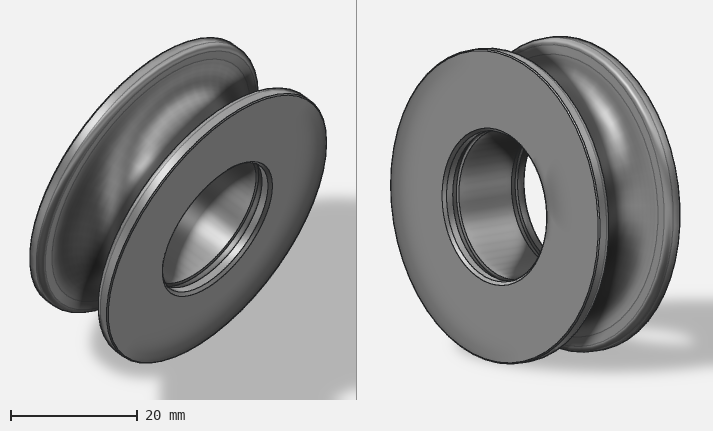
import cadquery as cq

width = 17.2
half_width = width / 2
outer_radius = 25.0
rim_chamfer = 0.2

rope_radius = 5.98
rope_floor_radius = 16.5
rope_centre_radius = rope_floor_radius + rope_radius
rim_fillet = 1.02

bore_radius = 12.0
bore_chamfer = 0.5

ring_groove_width = 1.3
ring_groove_depth = 0.6
ring_groove_inset = 1.8


def revolve_about_axis(profile):
    """Turn a closed profile in the XY plane (Y is the radius) around the X axis."""
    return profile.revolve(360, (0, 0, 0), (1, 0, 0))


def make_blank():
    """Plain disc with lightly chamfered outer edges."""
    disc = cq.Workplane("YZ").circle(outer_radius).extrude(half_width, both=True)
    return disc.faces("<X or >X").chamfer(rim_chamfer)


def make_rope_groove():
    """Cutter with a semicircular floor, straight walls and rounded rim edges."""
    fillet_start_radius = outer_radius - rim_fillet
    mouth_half_width = rope_radius + rim_fillet
    profile = (
        cq.Workplane("XY")
        .moveTo(-mouth_half_width, outer_radius)
        .radiusArc((-rope_radius, fillet_start_radius), rim_fillet)
        .lineTo(-rope_radius, rope_centre_radius)
        .threePointArc((0, rope_floor_radius), (rope_radius, rope_centre_radius))
        .lineTo(rope_radius, fillet_start_radius)
        .radiusArc((mouth_half_width, outer_radius), rim_fillet)
        .close()
    )
    return revolve_about_axis(profile)


def make_bore():
    """Cutter for the bore with a chamfered mouth at each end."""
    mouth_radius = bore_radius + bore_chamfer
    chamfer_start = half_width - bore_chamfer
    profile = (
        cq.Workplane("XY")
        .moveTo(-half_width, 0)
        .lineTo(-half_width, mouth_radius)
        .lineTo(-chamfer_start, bore_radius)
        .lineTo(chamfer_start, bore_radius)
        .lineTo(half_width, mouth_radius)
        .lineTo(half_width, 0)
        .close()
    )
    return revolve_about_axis(profile)


def make_ring_groove(start_x):
    """Cutter for one retaining-ring groove, running in +X from start_x."""
    plane = cq.Workplane("YZ", origin=(start_x, 0, 0))
    return plane.circle(bore_radius + ring_groove_depth).extrude(ring_groove_width)


result = make_blank().cut(make_rope_groove()).cut(make_bore())

outer_wall_x = half_width - ring_groove_inset
inner_wall_x = outer_wall_x - ring_groove_width
for groove_start in (-outer_wall_x, inner_wall_x):
    result = result.cut(make_ring_groove(groove_start))